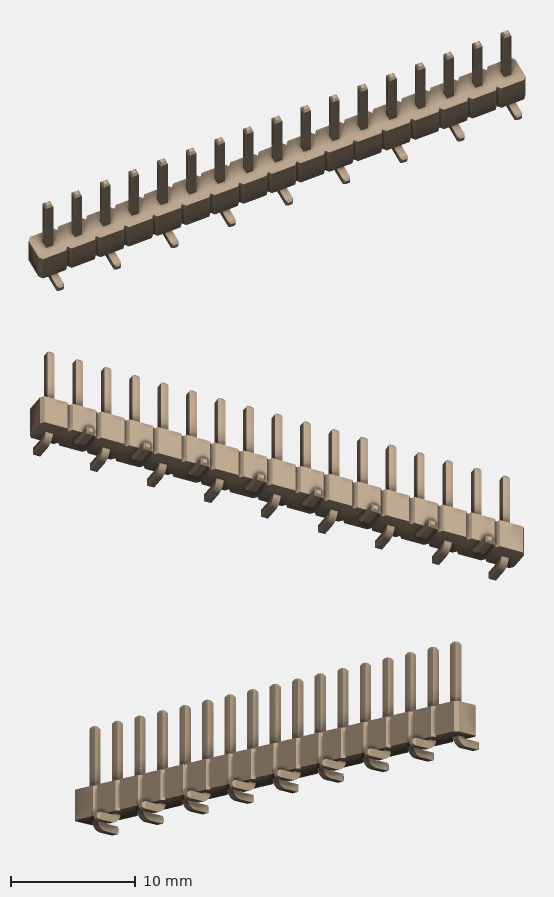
import cadquery as cq
import math

pin_count = 17
pitch = 2.54
row_length = pin_count * pitch

body_width = 2.5
body_height = 2.52
body_bottom = 0.78
notch_depth = 0.32
notch_half_width = 0.25

pin_width = 0.64
pin_top = 8.54
foot_reach = 2.5
bend_x = 0.93
bend_outer_radius = 1.0
bend_inner_radius = bend_outer_radius - pin_width
tip_length = 0.2
tip_inset = 0.15


def make_body():
    """Bar with chamfered ends and a V-notch on both sides between neighbouring pins."""
    side = body_width / 2
    root = side - notch_depth
    first_end = -row_length / 2
    right_edge = [(root, first_end)]
    for index in range(pin_count):
        start = first_end + index * pitch
        end = start + pitch
        right_edge.append((side, start + notch_half_width))
        right_edge.append((side, end - notch_half_width))
        right_edge.append((root, end))
    left_edge = [(-x, y) for x, y in reversed(right_edge)]
    outline = cq.Workplane("XY", origin=(0, 0, body_bottom)).polyline(right_edge + left_edge)
    return outline.close().extrude(body_height)


def make_tip(base_plane):
    """Tapered square pin end, grown from the given plane along its normal."""
    end_width = pin_width - 2 * tip_inset
    base = cq.Workplane(base_plane).rect(pin_width, pin_width)
    return base.workplane(offset=tip_length).rect(end_width, end_width).loft(combine=True)


def make_shank():
    """Straight part of the pin, rising from inside the body along the Z axis."""
    shank_top = pin_top - tip_length
    shank = (
        cq.Workplane("XY", origin=(0, 0, bend_outer_radius))
        .rect(pin_width, pin_width)
        .extrude(shank_top - bend_outer_radius)
    )
    return shank.union(make_tip(cq.Plane(origin=(0, 0, shank_top))))


def make_foot():
    """Foot that leaves the body downwards and bends level towards +X."""
    half = pin_width / 2
    foot_end = foot_reach - tip_length
    bend_z = bend_outer_radius
    diagonal = math.sqrt(0.5)
    outer_mid = (bend_x - bend_outer_radius * diagonal, bend_z - bend_outer_radius * diagonal)
    inner_mid = (bend_x - bend_inner_radius * diagonal, bend_z - bend_inner_radius * diagonal)
    foot = (
        cq.Workplane("XZ", origin=(0, half, 0))
        .moveTo(bend_x - bend_outer_radius, bend_z)
        .threePointArc(outer_mid, (bend_x, 0))
        .lineTo(foot_end, 0)
        .lineTo(foot_end, pin_width)
        .lineTo(bend_x, pin_width)
        .threePointArc(inner_mid, (bend_x - bend_inner_radius, bend_z))
        .close()
        .extrude(pin_width)
    )
    tip_plane = cq.Plane(origin=(foot_end, 0, half), xDir=(0, 1, 0), normal=(1, 0, 0))
    return foot.union(make_tip(tip_plane))


def make_header():
    """Body with a row of pins whose feet alternate between +X and -X."""
    header = make_body()
    right_pin = make_shank().union(make_foot())
    left_pin = right_pin.rotate((0, 0, 0), (0, 0, 1), 180)
    for index in range(pin_count):
        pin = right_pin if index % 2 == 0 else left_pin
        y = (index - (pin_count - 1) / 2) * pitch
        header = header.union(pin.translate((0, y, 0)))
    return header


result = make_header()